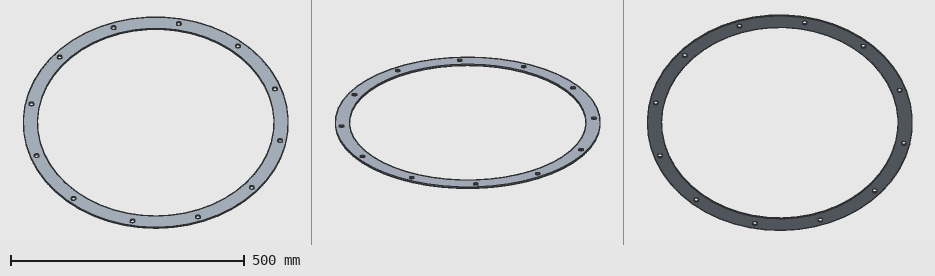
import cadquery as cq

outer_diameter = 567.0
inner_diameter = 506.0
thickness = 4.0

bolt_circle_diameter = 541.0
bolt_hole_diameter = 10.0
bolt_hole_count = 12

ring = (
    cq.Workplane("XY")
    .circle(outer_diameter / 2)
    .circle(inner_diameter / 2)
    .extrude(thickness)
)

bolt_holes = (
    cq.Workplane("XY")
    .polarArray(bolt_circle_diameter / 2, 0, 360, bolt_hole_count)
    .circle(bolt_hole_diameter / 2)
    .extrude(thickness)
)

result = ring.cut(bolt_holes)